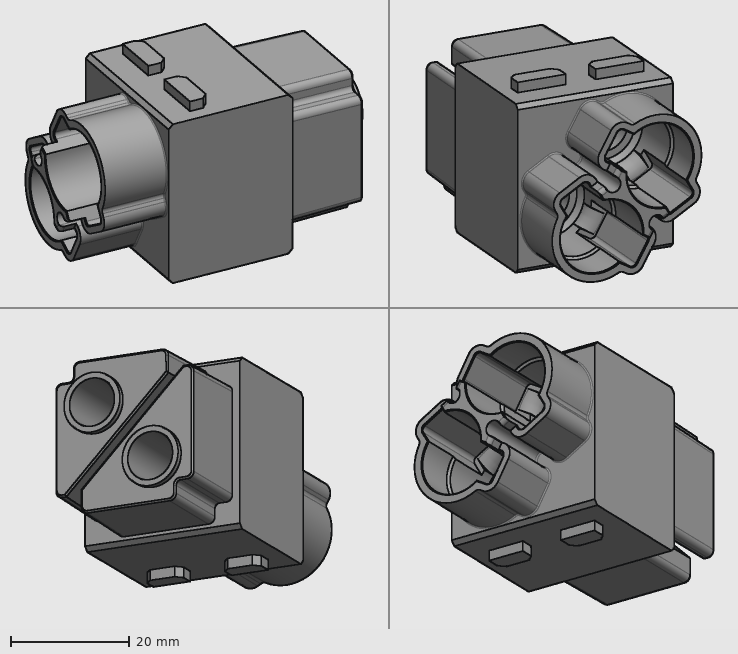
import cadquery as cq
import math

BLOCK_WIDTH = 29.4
BLOCK_HEIGHT = 30.45
BLOCK_FRONT = -12.3
BLOCK_BACK = 11.65
BLOCK_CHAMFER = 0.8

TAB_HEIGHT = 1.85
TAB_FRONT = -6.65
TAB_BACK = -3.0
TAB_CHAMFER = 1.15
TAB_OFFSET = 7.35
TOP_TAB_WIDTH = 9.1
BOTTOM_TAB_WIDTH = 6.95

TIP_Y = -27.3
SHELL_FRONT = -24.25
SHROUD_BACK = 26.15
TUBE_BACK = 27.3

CENTRE = 5.5
HOLE_RADIUS = 4.25
TUBE_RADIUS = 5.3
SHELL_RADIUS = 8.6
BORE_RADIUS = 7.05
THROAT_RADIUS = 6.55
SEAT_RADIUS = 5.7
BORE_DEPTH = 7.35
THROAT_TAPER_LENGTH = 0.4
SEAT_LENGTH = 1.1
BORE_END = SHELL_FRONT + BORE_DEPTH
THROAT_START = BORE_END + THROAT_TAPER_LENGTH
MOUTH_CHAMFER = 0.15
BASE_FILLET = 0.2

EAR_ANGLE = 150
EAR_REACH = 11.0
EAR_OUTER_SIDE = 4.25
EAR_INNER_SIDE = 4.65
EAR_CORNER = 2.3
EAR_ROOT_FILLET = 0.95
POCKET_DEPTH = 15.55
POCKET_END = SHELL_FRONT + POCKET_DEPTH
POCKET_REACH = 9.6
POCKET_OUTER_SIDE = 2.9
POCKET_INNER_SIDE = 3.15
POCKET_CORNER = 0.9
SLOT_REACH = 9.3
SLOT_HALF_WIDTH = 1.95

NOTCH_ANGLE = 135
NOTCH_OFFSET = 4.1
WEB_WIDTH = 4.9

STAR_ARM_REACH = 8.15
STAR_ARM_FILLET = 0.8

SHROUD_HALF_WIDTH = 13.25
SHROUD_HALF_HEIGHT = 13.75
STEP_X = 9.95
STEP_Z = 10.3
SHROUD_SIDE_X = 8.45
SHROUD_END_Z = 10.3
GAP_WIDTH = 1.4
SHROUD_FILLET = 1.2
STEP_FILLET = 0.9
SHROUD_DRAFT_INSET = 0.2
SHROUD_EDGE_CHAMFER = 0.35

ear_cos = math.cos(math.radians(EAR_ANGLE))
ear_sin = math.sin(math.radians(EAR_ANGLE))


def front_plane(y):
    """XZ plane at the given Y, extruding toward -Y."""
    return cq.Workplane("XZ", origin=(0, y, 0))


def ear_plane(y):
    """Plane on a chamber axis: local X runs along the ear, local Y toward the other chamber."""
    return cq.Workplane(cq.Plane(origin=(CENTRE, y, CENTRE), xDir=(ear_cos, 0, ear_sin), normal=(0, -1, 0)))


def ear_point(along, across):
    """XZ position of a point given in the ear's own directions."""
    return (CENTRE + along * ear_cos - across * ear_sin, CENTRE + along * ear_sin + across * ear_cos)


def with_mirrored_ear(body):
    """Add the copy mirrored across the diagonal through both chamber axes."""
    return body.union(body.mirror((1, 0, -1)))


def both_chambers(body):
    """Add the copy turned half a revolution about Y."""
    return body.union(body.rotate((0, 0, 0), (0, 1, 0), 180))


def ear_prism(back, front, reach, inner_side, outer_side, corner):
    """Rounded bar from a chamber axis to the end of one ear."""
    width = inner_side + outer_side
    bar = ear_plane(back).center(reach / 2, (inner_side - outer_side) / 2).rect(reach, width)
    bar = bar.extrude(back - front)
    for across in (inner_side, -outer_side):
        x, z = ear_point(reach, across)
        middle = (x, (back + front) / 2, z)
        bar = bar.edges(cq.selectors.NearestToPointSelector(middle)).fillet(corner)
    return bar


def block():
    """Rectangular block with its X-direction edges chamfered."""
    body = cq.Workplane("XY").box(BLOCK_WIDTH, BLOCK_BACK - BLOCK_FRONT, BLOCK_HEIGHT)
    body = body.translate((0, (BLOCK_BACK + BLOCK_FRONT) / 2, 0))
    return body.edges("|X").chamfer(BLOCK_CHAMFER)


def tab_pair(width, z_bottom):
    """Two coding tabs of one width, chamfered at the back corners."""
    pair = cq.Workplane("XY")
    for x in (-TAB_OFFSET, TAB_OFFSET):
        tab = cq.Workplane("XY").box(width, TAB_BACK - TAB_FRONT, TAB_HEIGHT, centered=(True, False, False))
        tab = tab.edges("|Z and >Y").chamfer(TAB_CHAMFER)
        pair = pair.add(tab.translate((x, TAB_FRONT, z_bottom)))
    return pair.combine()


def shell_outline(back, front):
    """Solid prism with the outer outline of both chambers."""
    length = back - front
    lobe = ear_plane(back).circle(SHELL_RADIUS).extrude(length)
    lobe = lobe.union(ear_prism(back, front, EAR_REACH, EAR_INNER_SIDE, EAR_OUTER_SIDE, EAR_CORNER))
    x, z = ear_point(math.sqrt(SHELL_RADIUS**2 - EAR_OUTER_SIDE**2), -EAR_OUTER_SIDE)
    root = cq.selectors.NearestToPointSelector((x, (back + front) / 2, z))
    lobe = lobe.edges(root).fillet(EAR_ROOT_FILLET)
    shell = both_chambers(with_mirrored_ear(lobe))

    notch_across = (-NOTCH_OFFSET - CENTRE) * -ear_sin + (NOTCH_OFFSET - CENTRE) * ear_cos
    notch_radius = notch_across - EAR_INNER_SIDE
    half_length = NOTCH_OFFSET * math.sqrt(2) + notch_radius * math.sin(math.radians(EAR_ANGLE - NOTCH_ANGLE))
    web = front_plane(back).rect(2 * half_length, WEB_WIDTH).extrude(length)
    web = web.rotate((0, 0, 0), (0, 1, 0), 180 - NOTCH_ANGLE)
    notches = front_plane(back).pushPoints([(-NOTCH_OFFSET, NOTCH_OFFSET), (NOTCH_OFFSET, -NOTCH_OFFSET)])
    return shell.union(web).cut(notches.circle(notch_radius).extrude(length))


def cavity(mouth):
    """Bores and ear pockets of both chambers, flared at the mouth."""
    flare_start = mouth + MOUTH_CHAMFER
    length = BORE_END - flare_start
    lobe = ear_plane(BORE_END).circle(BORE_RADIUS).extrude(length)
    pocket = ear_prism(
        POCKET_END, flare_start, POCKET_REACH, POCKET_INNER_SIDE, POCKET_OUTER_SIDE, POCKET_CORNER
    )
    chamber = with_mirrored_ear(lobe.union(pocket))
    flare = chamber.faces("<Y").wires().toPending().workplane()
    flare = flare.extrude(MOUTH_CHAMFER, taper=-45, combine=False)
    return both_chambers(chamber.union(flare))


def revolved_about_chamber(profile):
    """Revolve a (radius, Y) profile about the axis of the (+,+) chamber."""
    return profile.close().revolve(360, (0, 0), (0, 1)).translate((CENTRE, 0, CENTRE))


def chamber_floor():
    """Throat, tapered seat and contact hole, plus the rounded slots below the ear pockets."""
    slot_drop = SLOT_REACH - THROAT_RADIUS
    slot_end = POCKET_END + slot_drop
    seat_end = slot_end + SEAT_LENGTH
    throat = revolved_about_chamber(
        cq.Workplane("XY")
        .moveTo(0, BORE_END)
        .lineTo(BORE_RADIUS, BORE_END)
        .lineTo(THROAT_RADIUS, THROAT_START)
        .lineTo(THROAT_RADIUS, slot_end)
        .lineTo(SEAT_RADIUS, seat_end)
        .lineTo(0, seat_end)
    )
    ramp = revolved_about_chamber(
        cq.Workplane("XY")
        .moveTo(0, POCKET_END)
        .lineTo(SLOT_REACH, POCKET_END)
        .radiusArc((THROAT_RADIUS, slot_end), slot_drop)
        .lineTo(0, slot_end)
    )
    slot_bar = ear_plane(slot_end).center(SLOT_REACH / 2, 0).rect(SLOT_REACH, 2 * SLOT_HALF_WIDTH)
    slot = ramp.intersect(slot_bar.extrude(slot_drop))
    hole = ear_plane(TUBE_BACK).circle(HOLE_RADIUS).extrude(TUBE_BACK - TIP_Y)
    return both_chambers(throat.union(with_mirrored_ear(slot)).union(hole))


def star_post():
    """Post between the chambers that stands proud of the shell, with four round-ended arms."""
    back = SHELL_FRONT + MOUTH_CHAMFER
    length = back - TIP_Y
    inner = ear_point(EAR_REACH, POCKET_INNER_SIDE)
    outer = ear_point(EAR_REACH, EAR_INNER_SIDE)
    outline = [(0, 0), (CENTRE, CENTRE), inner, outer, (-NOTCH_OFFSET, NOTCH_OFFSET)]
    arm = front_plane(back).polyline(outline).close().extrude(length)
    trim = ear_plane(back).rect(2 * STAR_ARM_REACH, 2 * BLOCK_WIDTH).extrude(length)
    tip_x, tip_z = ear_point(STAR_ARM_REACH, 0)
    trim = trim.edges(cq.selectors.NearestToPointSelector((tip_x, TIP_Y, tip_z))).fillet(STAR_ARM_FILLET)
    arms = both_chambers(with_mirrored_ear(arm.intersect(trim)))
    return shell_outline(back, TIP_Y).intersect(arms).cut(cavity(TIP_Y))


def shroud_corners(inset):
    """Corners of the upper shroud with its outer faces moved in by the inset."""
    gap_offset = GAP_WIDTH / math.sqrt(2)
    side = SHROUD_SIDE_X - inset
    end = SHROUD_END_Z - inset
    width = SHROUD_HALF_WIDTH - inset
    height = SHROUD_HALF_HEIGHT - inset
    step_x = STEP_X - inset
    step_z = STEP_Z - inset
    return [
        (-side, gap_offset + side),
        (-side, height),
        (step_x, height),
        (step_x, step_z),
        (width, step_z),
        (width, -end),
        (gap_offset + end, -end),
    ]


def shrouds():
    """Two drafted shrouds behind the block, each with a contact tube standing proud."""
    length = SHROUD_BACK - BLOCK_BACK
    shroud = front_plane(SHROUD_BACK).polyline(shroud_corners(SHROUD_DRAFT_INSET)).close()
    shroud = shroud.workplane(offset=length).polyline(shroud_corners(0)).close().loft(ruled=True)
    middle_y = (SHROUD_BACK + BLOCK_BACK) / 2
    corners = shroud_corners(SHROUD_DRAFT_INSET / 2)
    fillets = [(corners[i], SHROUD_FILLET) for i in (1, 2, 4, 5)] + [(corners[3], STEP_FILLET)]
    for (x, z), radius in fillets:
        edge = cq.selectors.NearestToPointSelector((x, middle_y, z))
        shroud = shroud.edges(edge).fillet(radius)
    shroud = shroud.faces(">Y").edges().chamfer(SHROUD_EDGE_CHAMFER)
    tube = ear_plane(TUBE_BACK).circle(TUBE_RADIUS).extrude(TUBE_BACK - BLOCK_BACK)
    return both_chambers(shroud.union(tube))


def block_with_shell():
    """Block and solid chamber shells, with a small fillet where they meet."""
    body = block().union(shell_outline(BLOCK_FRONT, SHELL_FRONT))
    seam_half = SHELL_RADIUS + CENTRE + BASE_FILLET / 2
    seam = cq.selectors.BoxSelector(
        (-seam_half, BLOCK_FRONT - BASE_FILLET, -seam_half),
        (seam_half, BLOCK_FRONT + BASE_FILLET, seam_half),
    )
    return body.edges(seam).fillet(BASE_FILLET)


half_height = BLOCK_HEIGHT / 2
result = (
    block_with_shell()
    .union(shrouds())
    .union(tab_pair(TOP_TAB_WIDTH, half_height))
    .union(tab_pair(BOTTOM_TAB_WIDTH, -half_height - TAB_HEIGHT))
    .cut(cavity(SHELL_FRONT))
    .cut(chamber_floor())
    .union(star_post())
)